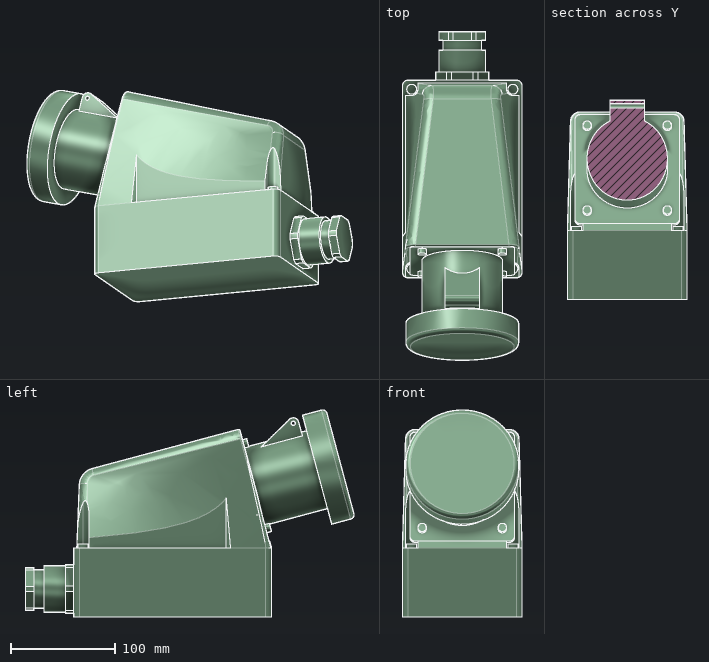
import cadquery as cq
import math

BOX_WIDTH = 115.0
BOX_LENGTH = 189.8
BOX_HEIGHT = 66.5
BOX_CORNER_RADIUS = 5.7

TILT = math.radians(15)
BACK_INSET = 2.8
BACK_LEAN = 2.8
FRONT_HEIGHT = 114.0
FRONT_TOP_HALF_WIDTH = 54.5
BACK_TOP_HALF_WIDTH = 33.0
BACK_ROOF_RADIUS = 17.5
SIDE_ROOF_RADIUS = 9.8
FRONT_ROOF_RADIUS = 1.5
FRONT_EDGE_TOP_RADIUS = 0.5

RELIEF_HALF_WIDTH = 54.5
RELIEF_END_Y = -51.5
RELIEF_END_SLANT = 4.0

CORNER_SCREW_X = 48.5
CORNER_SCREW_Y = 86.0
CORNER_SCREW_RADIUS = 4.7
CORNER_SCREW_HEIGHT = 3.8
CHANNEL_RADIUS = 6.0

PLATE_HALF_WIDTH = 50.0
PLATE_RIM = 3.0
PLATE_LIP = 7.0
PLATE_RECESS = 0.5
PLATE_THICKNESS = 4.7
PLATE_CORNER_RADIUS = 4.7
PLATE_SCREW_X = 38.5
PLATE_SCREW_SPACING = 84.2
PLATE_SCREW_FIRST = 19.2
PLATE_SCREW_RADIUS = 4.0
PLATE_SCREW_HEIGHT = 4.7

BARREL_UP_FACE = 61.2
BARREL_RADIUS = 38.8
LID_RADIUS = 54.2
LID_START = 61.5
LID_END = 84.8
LID_EDGE_RADIUS = 4.5

LUG_HALF_WIDTH = 16.7
LUG_FOOT = 15.5
LUG_EYE_OUT = 51.0
LUG_EYE_UP = 49.0
LUG_EYE_RADIUS = 5.5
LUG_HOLE_RADIUS = 2.0

GLAND_Z = 27.0
GLAND_BODY_RADIUS = 22.5
GLAND_NECK_RADIUS = 18.5
FLANGE_ACROSS_FLATS = 46.7
FLANGE_CORNER_RADIUS = 25.5
FLANGE_LENGTH = 8.0
GLAND_BODY_END = 28.7
GLAND_NECK_END = 38.0
GLAND_END = 46.5
NUT_ACROSS_FLATS = 41.0
NUT_CORNER_RADIUS = 22.5

OVERSHOOT = 3.0

half_width = BOX_WIDTH / 2
half_length = BOX_LENGTH / 2
front_top_y = -half_length + FRONT_HEIGHT * math.tan(TILT)
front_top_z = BOX_HEIGHT + FRONT_HEIGHT
back_foot_y = half_length - BACK_INSET
back_top_y = back_foot_y - BACK_LEAN
back_top_z = front_top_z - (back_top_y - front_top_y) * math.tan(TILT)
face_length = FRONT_HEIGHT / math.cos(TILT)
OUTWARD = cq.Vector(0, -math.cos(TILT), math.sin(TILT))


def face_plane(up_face):
    """Plane on the raked front face: X across, Y up the face, normal pointing outward."""
    y = -half_length + up_face * math.sin(TILT)
    z = BOX_HEIGHT + up_face * math.cos(TILT)
    return cq.Plane(origin=(0, y, z), xDir=(1, 0, 0), normal=OUTWARD)


def end_wall_wire(foot_y, top_half_width, top_y, top_z):
    """Outline of a hood end wall standing on the box at its full width."""
    corners = [
        (-half_width, foot_y, BOX_HEIGHT),
        (half_width, foot_y, BOX_HEIGHT),
        (top_half_width, top_y, top_z),
        (-top_half_width, top_y, top_z),
    ]
    return cq.Wire.makePolygon([cq.Vector(*corner) for corner in corners], close=True)


def corner_waste(corner_x, corner_y, z, radius):
    """Outline of the material outside a rounded front right corner."""
    start = cq.Vector(corner_x - radius, corner_y, z)
    end = cq.Vector(corner_x, corner_y + radius, z)
    inset = radius * (1 - math.sqrt(0.5))
    middle = cq.Vector(corner_x - inset, corner_y + inset, z)
    outside = [
        end,
        cq.Vector(corner_x + OVERSHOOT, corner_y + radius, z),
        cq.Vector(corner_x + OVERSHOOT, corner_y - OVERSHOOT, z),
        cq.Vector(corner_x - radius, corner_y - OVERSHOOT, z),
        start,
    ]
    lines = [cq.Edge.makeLine(a, b) for a, b in zip(outside, outside[1:])]
    return cq.Wire.assembleEdges([cq.Edge.makeThreePointArc(start, middle, end)] + lines)


def both_sides(shape):
    return shape.union(shape.mirror("YZ"))


def make_box():
    box = cq.Workplane("XY").box(BOX_WIDTH, BOX_LENGTH, BOX_HEIGHT, centered=(True, True, False))
    return box.edges("|Z").fillet(BOX_CORNER_RADIUS)


def make_hood():
    front = end_wall_wire(-half_length, FRONT_TOP_HALF_WIDTH, front_top_y, front_top_z)
    back = end_wall_wire(back_foot_y, BACK_TOP_HALF_WIDTH, back_top_y, back_top_z)
    hood = cq.Workplane(cq.Solid.makeLoft([front, back], True))

    hood = hood.faces(">Z").edges(">Y").fillet(BACK_ROOF_RADIUS)
    hood = hood.faces(">Z").edges("not |X").fillet(SIDE_ROOF_RADIUS)
    return hood.faces("<Y").edges(">Z").fillet(FRONT_ROOF_RADIUS)


def front_edge_waste():
    foot = corner_waste(half_width, -half_length, BOX_HEIGHT, BOX_CORNER_RADIUS)
    top = corner_waste(FRONT_TOP_HALF_WIDTH, front_top_y, front_top_z, FRONT_EDGE_TOP_RADIUS)
    return both_sides(cq.Workplane(cq.Solid.makeLoft([foot, top], True)))


def side_reliefs():
    outer_x = half_width + OVERSHOOT
    slant_rate = RELIEF_END_SLANT / (half_width - RELIEF_HALF_WIDTH)
    outer_end_y = RELIEF_END_Y - slant_rate * (outer_x - RELIEF_HALF_WIDTH)
    relief = (
        cq.Workplane("XY", origin=(0, 0, BOX_HEIGHT))
        .moveTo(RELIEF_HALF_WIDTH, RELIEF_END_Y)
        .lineTo(outer_x, outer_end_y)
        .lineTo(outer_x, half_length)
        .lineTo(RELIEF_HALF_WIDTH, half_length)
        .close()
        .extrude(FRONT_HEIGHT)
    )
    return both_sides(relief)


def corner_screw_points():
    return [(x, y) for x in (-CORNER_SCREW_X, CORNER_SCREW_X) for y in (-CORNER_SCREW_Y, CORNER_SCREW_Y)]


def screw_channels():
    """Vertical U-shaped channels: closed round the screw, open to the front or the rear."""
    floor = cq.Workplane("XY", origin=(0, 0, BOX_HEIGHT))
    channels = floor.pushPoints(corner_screw_points()).circle(CHANNEL_RADIUS).extrude(FRONT_HEIGHT)
    for x, y in corner_screw_points():
        end_y = math.copysign(half_length + OVERSHOOT, y)
        mouth = (
            floor.center(x, (y + end_y) / 2)
            .rect(2 * CHANNEL_RADIUS, abs(end_y - y))
            .extrude(FRONT_HEIGHT)
        )
        channels = channels.union(mouth)
    rear_side_x = CORNER_SCREW_X + half_width
    for side in (-1, 1):
        opening = (
            floor.center(side * rear_side_x, CORNER_SCREW_Y)
            .rect(2 * half_width, 2 * CHANNEL_RADIUS)
            .extrude(FRONT_HEIGHT)
        )
        channels = channels.union(opening)
    return channels


def corner_screws():
    floor = cq.Workplane("XY", origin=(0, 0, BOX_HEIGHT - OVERSHOOT))
    height = CORNER_SCREW_HEIGHT + OVERSHOOT
    return floor.pushPoints(corner_screw_points()).circle(CORNER_SCREW_RADIUS).extrude(height)


def plate_block(outer_level, inner_level):
    """Rounded block with the plate outline between two levels measured out from the face."""
    height = face_length - PLATE_RIM - PLATE_LIP
    middle = face_plane(PLATE_LIP + height / 2)
    block = (
        cq.Workplane(middle)
        .workplane(offset=inner_level)
        .rect(2 * PLATE_HALF_WIDTH, height)
        .extrude(outer_level - inner_level)
    )
    return block.edges(cq.selectors.ParallelDirSelector(OUTWARD)).fillet(PLATE_CORNER_RADIUS)


def plate_screws():
    points = [
        (x, up)
        for x in (-PLATE_SCREW_X, PLATE_SCREW_X)
        for up in (PLATE_SCREW_FIRST, PLATE_SCREW_FIRST + PLATE_SCREW_SPACING)
    ]
    return (
        cq.Workplane(face_plane(0))
        .workplane(offset=-PLATE_RECESS)
        .pushPoints(points)
        .circle(PLATE_SCREW_RADIUS)
        .extrude(PLATE_SCREW_HEIGHT)
    )


def make_socket():
    axis_plane = cq.Workplane(face_plane(BARREL_UP_FACE))
    buried_depth = PLATE_RECESS + PLATE_THICKNESS
    barrel_length = buried_depth + LID_START
    barrel = axis_plane.workplane(offset=-buried_depth).circle(BARREL_RADIUS).extrude(barrel_length)
    lid = axis_plane.workplane(offset=LID_START).circle(LID_RADIUS).extrude(LID_END - LID_START)
    lid = lid.faces("<Y").edges().fillet(LID_EDGE_RADIUS)
    return barrel.union(lid).union(make_hinge_lug())


def make_hinge_lug():
    """Wedge with a round eye: its sloping top and its square end are tangent to the eye."""
    profile_plane = cq.Plane(
        origin=face_plane(BARREL_UP_FACE).origin, xDir=OUTWARD, normal=(-1, 0, 0)
    )
    foot_up = math.sqrt(BARREL_RADIUS**2 - LUG_HALF_WIDTH**2)
    run = LUG_EYE_OUT - LUG_FOOT
    rise = LUG_EYE_UP - foot_up
    slope = math.atan2(rise, run) + math.asin(LUG_EYE_RADIUS / math.hypot(run, rise))

    def eye_point(angle):
        return (
            LUG_EYE_OUT + LUG_EYE_RADIUS * math.cos(angle),
            LUG_EYE_UP + LUG_EYE_RADIUS * math.sin(angle),
        )

    tangent_angle = slope + math.pi / 2
    base_up = foot_up - OVERSHOOT
    base_out = LUG_FOOT - OVERSHOOT / math.tan(slope)
    base_end_out = LUG_EYE_OUT + LUG_EYE_RADIUS
    return (
        cq.Workplane(profile_plane)
        .moveTo(base_out, base_up)
        .lineTo(*eye_point(tangent_angle))
        .threePointArc(eye_point(tangent_angle / 2), eye_point(0))
        .lineTo(base_end_out, base_up)
        .close()
        .moveTo(LUG_EYE_OUT, LUG_EYE_UP)
        .circle(LUG_HOLE_RADIUS)
        .extrude(LUG_HALF_WIDTH, both=True)
    )


def make_gland():
    def section(start, end):
        """Sketch plane `start` behind the rear wall and the length to reach `end`."""
        plane = cq.Plane(origin=(0, half_length + start, GLAND_Z), xDir=(0, 0, 1), normal=(0, 1, 0))
        return cq.Workplane(plane), end - start

    def cylinder(radius, start, end):
        sketch, length = section(start, end)
        return sketch.circle(radius).extrude(length)

    def hexagon(across_flats, corner_radius, start, end):
        """Hexagon with its corners turned down to a cylinder."""
        sketch, length = section(start, end)
        prism = sketch.polygon(6, across_flats, circumscribed=True).extrude(length)
        return prism.intersect(cylinder(corner_radius, start, end))

    flange = hexagon(FLANGE_ACROSS_FLATS, FLANGE_CORNER_RADIUS, -OVERSHOOT, FLANGE_LENGTH)
    body = cylinder(GLAND_BODY_RADIUS, 0, GLAND_BODY_END)
    neck = cylinder(GLAND_NECK_RADIUS, 0, GLAND_NECK_END)
    nut = hexagon(NUT_ACROSS_FLATS, NUT_CORNER_RADIUS, GLAND_NECK_END, GLAND_END)
    return flange.union(body).union(neck).union(nut)


hood = make_hood().cut(front_edge_waste()).cut(side_reliefs()).cut(screw_channels())
hood = hood.cut(plate_block(OVERSHOOT, -PLATE_RECESS - PLATE_THICKNESS))
plate = plate_block(-PLATE_RECESS, -PLATE_RECESS - PLATE_THICKNESS)

result = make_box().union(hood).union(plate).union(corner_screws()).union(plate_screws())
result = result.union(make_socket()).union(make_gland())